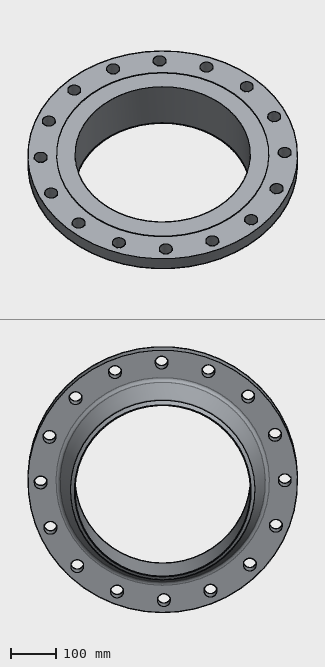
import cadquery as cq

flange_diameter = 597.0
flange_thickness = 34.5
raised_face_diameter = 470.0
raised_face_height = 2.0

total_height = 127.0
bore_diameter = 388.0
neck_root_diameter = 458.5
neck_end_diameter = 408.0
weld_land_height = 13.0
bevel_height = 7.0
bevel_width = 8.5
root_fillet_radius = 9.5

bolt_count = 16
bolt_circle_diameter = 540.0
bolt_hole_diameter = 28.5

flange_top = total_height - raised_face_height
flange_bottom = flange_top - flange_thickness


def make_neck_and_flange():
    """Revolve the flange, raised face and tapered neck around Z."""
    bore_radius = bore_diameter / 2
    neck_end_radius = neck_end_diameter / 2
    flange_radius = flange_diameter / 2
    raised_face_radius = raised_face_diameter / 2
    profile = (
        cq.Workplane("XZ")
        .moveTo(bore_radius, 0)
        .lineTo(neck_end_radius - bevel_width, 0)
        .lineTo(neck_end_radius, bevel_height)
        .lineTo(neck_end_radius, weld_land_height)
        .lineTo(neck_root_diameter / 2, flange_bottom)
        .lineTo(flange_radius, flange_bottom)
        .lineTo(flange_radius, flange_top)
        .lineTo(raised_face_radius, flange_top)
        .lineTo(raised_face_radius, total_height)
        .lineTo(bore_radius, total_height)
        .close()
    )
    return profile.revolve(360, (0, 0, 0), (0, 1, 0))


def fillet_neck_root(body):
    """Round the inside corner where the neck meets the flange underside."""
    reach = neck_root_diameter / 2 + root_fillet_radius / 2
    margin = root_fillet_radius / 2
    root_edge = cq.selectors.BoxSelector(
        (-reach, -reach, flange_bottom - margin),
        (reach, reach, flange_bottom + margin),
        boundingbox=True,
    )
    return body.edges(root_edge).fillet(root_fillet_radius)


def make_bolt_holes():
    """Cylinders for the bolt circle; the first one lies on the X axis."""
    return (
        cq.Workplane("XY")
        .workplane(offset=flange_bottom)
        .polarArray(bolt_circle_diameter / 2, 0, 360, bolt_count)
        .circle(bolt_hole_diameter / 2)
        .extrude(flange_thickness)
    )


result = fillet_neck_root(make_neck_and_flange()).cut(make_bolt_holes())